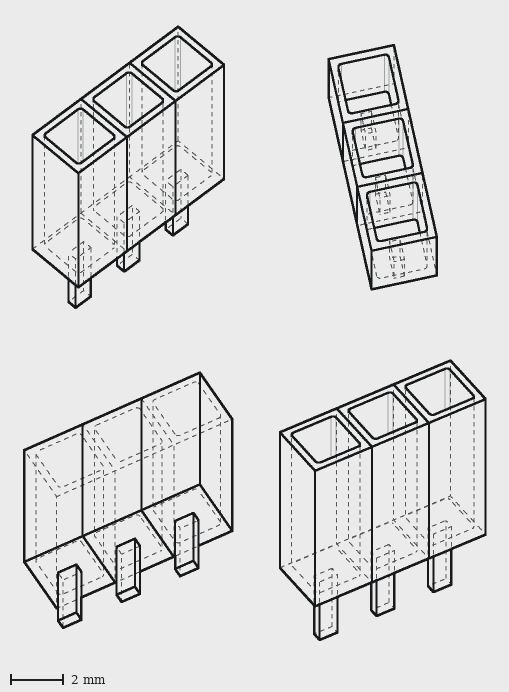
import cadquery as cq

cell_count = 3
cell_pitch = 2.54
housing_height = 7.0

wall = 0.29
socket_width = cell_pitch - 2 * wall
socket_corner_radius = 0.14
floor_thickness = wall
socket_depth = housing_height - floor_thickness

pin_thickness = 0.4
pin_width = 0.8
pin_length = 3.0


def make_housing(y_center):
    """Square housing standing on Z = 0 with a round-cornered blind socket."""
    block = cq.Workplane("XY").center(0, y_center).rect(cell_pitch, cell_pitch).extrude(housing_height)
    socket = (
        cq.Workplane("XY", origin=(0, y_center, floor_thickness))
        .rect(socket_width, socket_width)
        .extrude(socket_depth)
        .edges("|Z")
        .fillet(socket_corner_radius)
    )
    return block.cut(socket)


def make_pin(y_center):
    """Flat pin hanging from the underside of a housing."""
    return cq.Workplane("XY").center(0, y_center).rect(pin_thickness, pin_width).extrude(-pin_length)


cell_centers = [(i - (cell_count - 1) / 2) * cell_pitch for i in range(cell_count)]
housings = [make_housing(y).val() for y in cell_centers]
pins = [make_pin(y).val() for y in cell_centers]

result = cq.Compound.makeCompound([*housings, *pins])